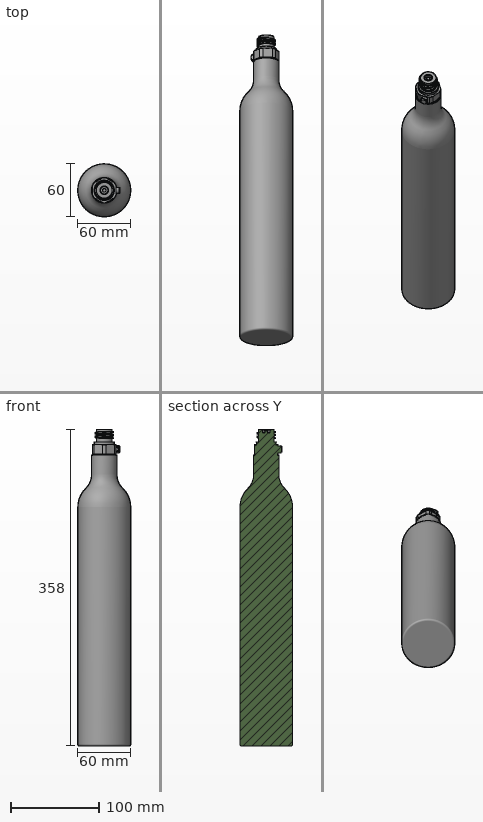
import cadquery as cq
import math

total_height = 358.0
body_radius = 60.0 / 2
base_fillet = 2.0

shoulder_z = 270.0
blend_radius = 21.5
neck_radius = 29.0 / 2
neck_top_z = 329.0

washer_radius = 26.5 / 2
nut_bottom_z = 330.0
nut_top_z = 340.8
nut_flats = 27.0
nut_corner_radius = 29.0 / 2
nut_bevel = 0.5
collar_radius = 23.0 / 2
collar_top_z = 344.0
collar_chamfer = 0.5
stem_radius = 18.0 / 2

thread_radius = 20.8 / 2
thread_pitch = 4.0
thread_bottom_z = 347.5
thread_turns = 2
thread_run_out_turns = 0.5
thread_root_width = 3.2
thread_crest_width = 1.5
thread_embed = 0.5
thread_trim_margin = 0.5

bore_diameter = 8.2
bore_mouth_diameter = 9.5
bore_depth = 3.5
pin_diameter = 4.0
pin_height = 1.8

plug_reach = 17.5
plug_diameter = 8.5
plug_flats = 6.8
plug_chamfer = 1.0
vent_diameter = 4.0
vent_x = 14.0
vent_depth = 1.5
plug_z = (nut_bottom_z + nut_top_z) / 2


def cylinder(radius, bottom_z, top_z):
    return cq.Workplane("XY").workplane(offset=bottom_z).circle(radius).extrude(top_z - bottom_z)


def make_bottle():
    """Revolve the body, shoulder and neck as one profile."""
    center_distance = body_radius + blend_radius
    blend_x = neck_radius + blend_radius
    blend_angle = math.acos(blend_x / center_distance)
    blend_z = shoulder_z + center_distance * math.sin(blend_angle)

    def on_shoulder(angle):
        return (body_radius * math.cos(angle), shoulder_z + body_radius * math.sin(angle))

    def on_blend(angle):
        return (blend_x - blend_radius * math.cos(angle), blend_z - blend_radius * math.sin(angle))

    profile = (
        cq.Workplane("XZ")
        .lineTo(body_radius, 0)
        .lineTo(body_radius, shoulder_z)
        .threePointArc(on_shoulder(blend_angle / 2), on_shoulder(blend_angle))
        .threePointArc(on_blend(blend_angle / 2), on_blend(0))
        .lineTo(neck_radius, neck_top_z)
        .lineTo(0, neck_top_z)
        .close()
    )
    bottle = profile.revolve(360, (0, 0, 0), (0, 1, 0))
    return bottle.faces("<Z").edges().fillet(base_fillet)


def make_nut():
    """Hexagon with two flats facing +X and -X, its corners turned round and bevelled."""
    height = nut_top_z - nut_bottom_z
    across_corners = nut_flats / math.cos(math.pi / 6)
    hexagon = (
        cq.Workplane("XY")
        .workplane(offset=nut_bottom_z)
        .transformed(rotate=(0, 0, 30))
        .polygon(6, across_corners)
        .extrude(height)
    )
    turned = cylinder(nut_corner_radius, nut_bottom_z, nut_top_z).faces(">Z").chamfer(nut_bevel)
    return hexagon.intersect(turned)


def make_thread():
    """Helical ridge, overlapping the stem slightly so that both fuse.

    The helix runs past both ends and is then trimmed square to the axis.
    """
    thread_height = thread_pitch * thread_turns
    run_out = thread_pitch * thread_run_out_turns
    inner_radius = stem_radius - thread_embed
    path = cq.Wire.makeHelix(thread_pitch, thread_height + 2 * run_out, stem_radius)
    ridge = (
        cq.Workplane("XZ")
        .moveTo(inner_radius, -thread_root_width / 2)
        .lineTo(thread_radius, -thread_crest_width / 2)
        .lineTo(thread_radius, thread_crest_width / 2)
        .lineTo(inner_radius, thread_root_width / 2)
        .close()
        .sweep(cq.Workplane(path), isFrenet=True)
    )
    ridge = ridge.rotate((0, 0, 0), (0, 0, 1), -360 * thread_run_out_turns)
    ridge = ridge.translate((0, 0, thread_bottom_z - run_out))
    envelope_radius = thread_radius + thread_trim_margin
    return ridge.intersect(cylinder(envelope_radius, thread_bottom_z, thread_bottom_z + thread_height))


def make_plug():
    plug = cq.Workplane("YZ").center(0, plug_z).circle(plug_diameter / 2).extrude(plug_reach)
    plug = plug.faces(">X").chamfer(plug_chamfer)
    flats = cq.Workplane("YZ").center(0, plug_z).rect(plug_flats, plug_diameter).extrude(plug_reach)
    vent_floor_y = vent_depth - plug_flats / 2
    vent = (
        cq.Workplane("XZ", origin=(vent_x, vent_floor_y, plug_z))
        .circle(vent_diameter / 2)
        .extrude(plug_diameter)
    )
    return plug.intersect(flats).cut(vent)


def make_bore():
    """Blind bore with a chamfered mouth, leaving a round pin on its floor."""
    floor_z = total_height - bore_depth
    pin_top_z = floor_z + pin_height
    mouth_depth = (bore_mouth_diameter - bore_diameter) / 2
    bore = cylinder(bore_diameter / 2, floor_z, total_height)
    mouth = (
        cq.Workplane("XY")
        .workplane(offset=total_height - mouth_depth)
        .circle(bore_diameter / 2)
        .workplane(offset=mouth_depth)
        .circle(bore_mouth_diameter / 2)
        .loft(ruled=True)
    )
    pin = cylinder(pin_diameter / 2, floor_z, pin_top_z)
    return bore.union(mouth).cut(pin)


washer = cylinder(washer_radius, neck_top_z, nut_bottom_z)
collar = cylinder(collar_radius, nut_top_z, collar_top_z).faces(">Z").chamfer(collar_chamfer)
stem = cylinder(stem_radius, collar_top_z, total_height)

result = (
    make_bottle()
    .union(washer)
    .union(make_nut())
    .union(make_plug())
    .union(collar)
    .union(stem)
    .union(make_thread())
    .cut(make_bore())
)